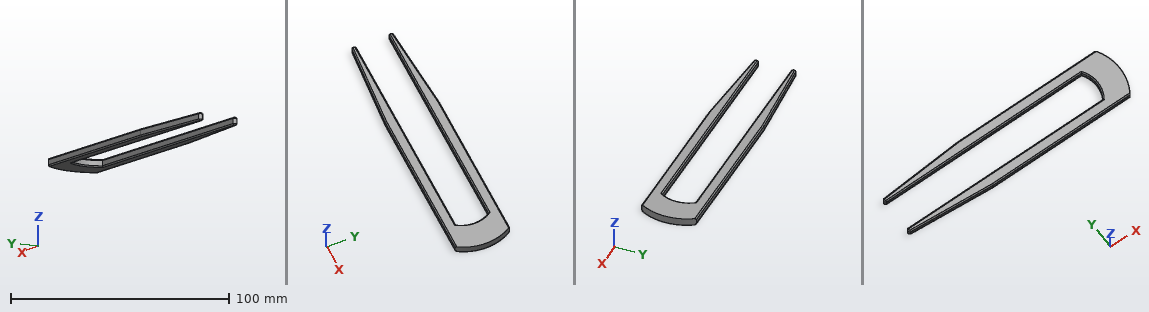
import cadquery as cq

length = 127.0
width = 27.3
thickness = 3.7

gap = 16.5
tip_width = 2.2
taper_length = 45.0
tip_bulge = 0.8
edge_chamfer = 0.6

head_bulge = 4.1
slot_length = 114.0
slot_bulge = 2.5

half_width = width / 2
half_gap = gap / 2
tip_outer = half_gap + tip_width
tip_middle = half_gap + tip_width / 2
head_corner = length - head_bulge
slot_corner = slot_length - slot_bulge


def make_blank(overhang):
    """Fork outline with the head extended squarely past its curved end."""
    square_end = length + overhang
    return (
        cq.Workplane("XY")
        .moveTo(tip_bulge, half_gap)
        .lineTo(slot_corner, half_gap)
        .threePointArc((slot_length, 0), (slot_corner, -half_gap))
        .lineTo(tip_bulge, -half_gap)
        .threePointArc((0, -tip_middle), (tip_bulge, -tip_outer))
        .lineTo(taper_length, -half_width)
        .lineTo(square_end, -half_width)
        .lineTo(square_end, half_width)
        .lineTo(taper_length, half_width)
        .lineTo(tip_bulge, tip_outer)
        .threePointArc((0, tip_middle), (tip_bulge, half_gap))
        .close()
        .extrude(thickness)
    )


def make_head_trim():
    """Envelope whose curved end cuts the head, leaving that end sharp."""
    return (
        cq.Workplane("XY")
        .moveTo(0, -half_width)
        .lineTo(head_corner, -half_width)
        .threePointArc((length, 0), (head_corner, half_width))
        .lineTo(0, half_width)
        .close()
        .extrude(thickness)
    )


blank = make_blank(overhang=thickness)
blank = blank.faces("|Z").edges().chamfer(edge_chamfer)

result = blank.intersect(make_head_trim())